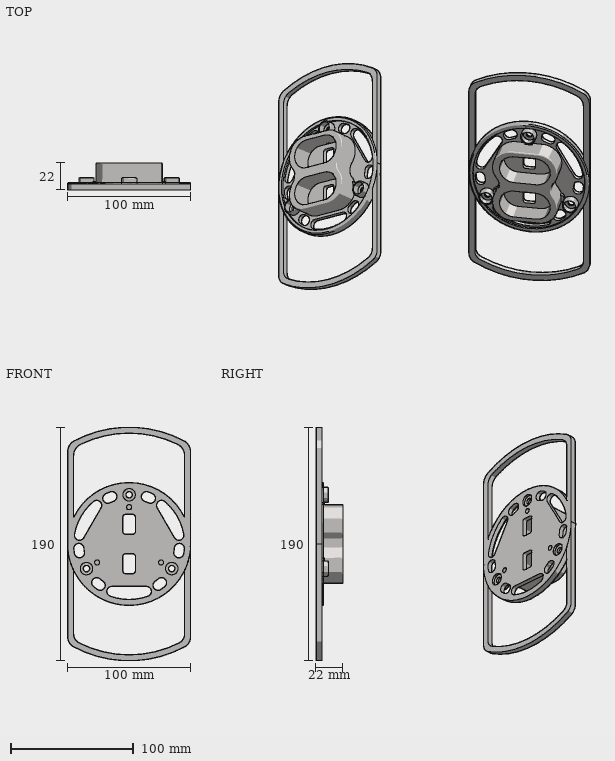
import cadquery as cq
import math


disc_radius = 50.0
disc_thickness = 6.0
disc_back_fillet = 1.0
recess_diameter = 93.0
web_thickness = 4.0
sectors = 3
sector_angle = 360.0 / sectors

frame_thickness = 5.0
frame_width = 5.0
frame_half_height = 95.0
upper_corner_radius = 10.0
lower_corner_radius = 9.0
lower_inner_corner_radius = 8.0

slot_end_radius = 4.0
slot_pitch_radius = 41.0
long_slot_half_angle = 20.0
short_slot_start_angle = 20.0
short_slot_end_angle = 25.0

screw_pitch_radius = 40.0
screw_hole_diameter = 5.0
counterbore_diameter = 10.1
counterbore_depth = 2.0
screw_boss_diameter = 12.5
screw_boss_back = 10.0
screw_boss_fillet = 1.0

pin_pitch_radius = 30.0
pin_hole_diameter = 4.1
pin_hole_depth = 5.0
pin_pad_diameter = 7.0
pin_pad_back = 7.0

housing_back = 22.0
lobe_offset = 16.0
lobe_radius = 16.0
lobe_arc_offset = 11.0
neck_radius = 10.0
housing_back_fillet = 1.0

pocket_arc_offset = 9.0
pocket_radius = 12.0
window_width = 10.0
window_height = 16.0
window_corner_radius = 2.0


def plane_at(y):
    """Sketch plane with local x = X, local y = Z, extruding toward +Y."""
    return cq.Workplane(cq.Plane(origin=(0, y, 0), xDir=(1, 0, 0), normal=(0, -1, 0)))


def extrude_back(sketch, depth):
    return sketch.extrude(-depth)


def polar(radius, angle):
    """Point at an angle measured clockwise from +Z."""
    turn = math.radians(angle)
    return (radius * math.sin(turn), radius * math.cos(turn))


def cylinders(points, diameter, front, back):
    return extrude_back(plane_at(front).pushPoints(points).circle(diameter / 2), back - front)


def bow_half_outline(half_width, height, corner_radius):
    """Closed area from Z = 0 up to an arc centred on the disc axis, with rounded corners."""
    corner_x = half_width - corner_radius
    corner_z = math.sqrt((height - corner_radius) ** 2 - corner_x ** 2)
    tangent_angle = math.degrees(math.atan2(corner_x, corner_z))
    tangent_x, tangent_z = polar(height, tangent_angle)
    middle = math.radians((90 + tangent_angle) / 2)
    middle_x = corner_x + corner_radius * math.sin(middle)
    middle_z = corner_z + corner_radius * math.cos(middle)
    return (
        plane_at(0)
        .moveTo(-half_width, 0)
        .lineTo(half_width, 0)
        .lineTo(half_width, corner_z)
        .threePointArc((middle_x, middle_z), (tangent_x, tangent_z))
        .threePointArc((0, height), (-tangent_x, tangent_z))
        .threePointArc((-middle_x, middle_z), (-half_width, corner_z))
        .close()
    )


def make_bow(corner_radius, inner_corner_radius):
    """Upward bow whose legs end on the disc rim."""
    outer = extrude_back(
        bow_half_outline(disc_radius, frame_half_height, corner_radius),
        frame_thickness,
    )
    inner = extrude_back(
        bow_half_outline(
            disc_radius - frame_width,
            frame_half_height - frame_width,
            inner_corner_radius,
        ),
        frame_thickness,
    )
    disc_space = cylinders([(0, 0)], 2 * disc_radius, 0, frame_thickness)
    return outer.cut(inner).cut(disc_space)


def make_upper_bow():
    return make_bow(upper_corner_radius, upper_corner_radius)


def make_lower_bow():
    return make_bow(lower_corner_radius, lower_inner_corner_radius).mirror("XY")


def housing_blank():
    """Housing outline: neck arcs are tangent to the lobe arcs."""
    reach = lobe_radius + neck_radius
    neck_x = lobe_arc_offset + math.sqrt(reach ** 2 - lobe_offset ** 2)
    share = lobe_radius / reach
    join_x = lobe_arc_offset + share * (neck_x - lobe_arc_offset)
    join_z = lobe_offset * (1 - share)
    waist_x = neck_x - neck_radius
    top = lobe_offset + lobe_radius
    side_angle = math.atan2(lobe_offset, neck_x - lobe_arc_offset)
    middle = (math.pi / 2 - side_angle) / 2
    side_x = lobe_arc_offset + lobe_radius * math.cos(middle)
    side_z = lobe_offset + lobe_radius * math.sin(middle)
    outline = (
        plane_at(web_thickness)
        .moveTo(-lobe_arc_offset, top)
        .lineTo(lobe_arc_offset, top)
        .threePointArc((side_x, side_z), (join_x, join_z))
        .threePointArc((waist_x, 0), (join_x, -join_z))
        .threePointArc((side_x, -side_z), (lobe_arc_offset, -top))
        .lineTo(-lobe_arc_offset, -top)
        .threePointArc((-side_x, -side_z), (-join_x, -join_z))
        .threePointArc((-waist_x, 0), (-join_x, join_z))
        .threePointArc((-side_x, side_z), (-lobe_arc_offset, top))
        .close()
    )
    blank = extrude_back(outline, housing_back - web_thickness)
    return blank.faces(">Y").edges().fillet(housing_back_fillet)


def cut_housing_openings(body):
    for side in (1, -1):
        centre = [(0, side * lobe_offset)]
        pocket = extrude_back(
            plane_at(web_thickness)
            .pushPoints(centre)
            .slot2D(2 * (pocket_arc_offset + pocket_radius), 2 * pocket_radius),
            housing_back - web_thickness,
        )
        window = extrude_back(
            plane_at(0).pushPoints(centre).rect(window_width, window_height), web_thickness
        )
        window = window.edges("|Y").fillet(window_corner_radius)
        body = body.cut(pocket).cut(window)
    return body


def slot_cutter(start_angle, end_angle, straight_inside):
    """Slot along the rim; its inner side is a chord or a concentric arc."""
    outer = slot_pitch_radius + slot_end_radius
    middle_angle = (start_angle + end_angle) / 2
    start_x, start_z = polar(slot_pitch_radius, start_angle)
    end_x, end_z = polar(slot_pitch_radius, end_angle)

    inner_start_angle = middle_angle if straight_inside else start_angle
    inner_end_angle = middle_angle if straight_inside else end_angle
    step_x, step_z = polar(slot_end_radius, inner_start_angle)
    inner_start = (start_x - step_x, start_z - step_z)
    step_x, step_z = polar(slot_end_radius, inner_end_angle)
    inner_end = (end_x - step_x, end_z - step_z)

    step_x, step_z = polar(slot_end_radius, (start_angle + inner_start_angle) / 2 - 90)
    start_tip = (start_x + step_x, start_z + step_z)
    step_x, step_z = polar(slot_end_radius, (end_angle + inner_end_angle) / 2 + 90)
    end_tip = (end_x + step_x, end_z + step_z)

    outline = (
        plane_at(0)
        .moveTo(*polar(outer, start_angle))
        .threePointArc(polar(outer, middle_angle), polar(outer, end_angle))
        .threePointArc(end_tip, inner_end)
    )
    if straight_inside:
        outline = outline.lineTo(*inner_start)
    else:
        inner = slot_pitch_radius - slot_end_radius
        outline = outline.threePointArc(polar(inner, middle_angle), inner_start)
    outline = outline.threePointArc(start_tip, polar(outer, start_angle)).close()
    return extrude_back(outline, disc_thickness)


def cut_rim_slots(body):
    for sector in range(sectors):
        screw_angle = sector * sector_angle
        long_angle = screw_angle + sector_angle / 2
        body = body.cut(
            slot_cutter(long_angle - long_slot_half_angle, long_angle + long_slot_half_angle, True)
        )
        for start, end in (
            (short_slot_start_angle, short_slot_end_angle),
            (-short_slot_end_angle, -short_slot_start_angle),
        ):
            body = body.cut(slot_cutter(screw_angle + start, screw_angle + end, False))
    return body


def make_mount():
    screw_points = [polar(screw_pitch_radius, i * sector_angle) for i in range(sectors)]
    pin_points = [polar(pin_pitch_radius, i * sector_angle) for i in range(sectors)]

    disc = cylinders([(0, 0)], 2 * disc_radius, 0, disc_thickness)
    disc = disc.faces(">Y").edges().fillet(disc_back_fillet)
    disc = disc.cut(cylinders([(0, 0)], recess_diameter, web_thickness, disc_thickness))
    disc = cut_rim_slots(disc)

    screw_bosses = cylinders(screw_points, screw_boss_diameter, web_thickness, screw_boss_back)
    screw_bosses = screw_bosses.faces(">Y").edges().fillet(screw_boss_fillet)
    pin_pads = cylinders(pin_points, pin_pad_diameter, web_thickness, pin_pad_back)

    body = disc.union(screw_bosses).union(pin_pads).union(housing_blank())
    body = cut_housing_openings(body)
    body = body.cut(cylinders(screw_points, screw_hole_diameter, 0, screw_boss_back))
    body = body.cut(cylinders(screw_points, counterbore_diameter, 0, counterbore_depth))
    body = body.cut(cylinders(screw_points, counterbore_diameter, web_thickness, screw_boss_back))
    body = body.cut(cylinders(pin_points, pin_hole_diameter, 0, pin_hole_depth))
    return body.union(make_upper_bow())


mount = make_mount()
lower_bow = make_lower_bow()

result = cq.Compound.makeCompound([mount.solids().val(), lower_bow.solids().val()])